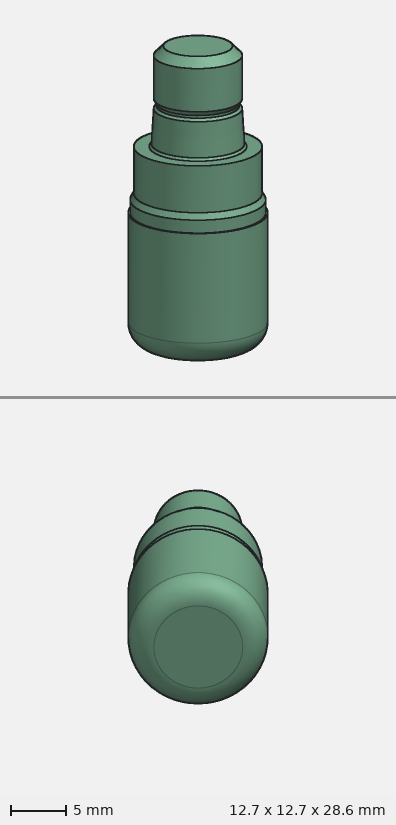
import cadquery as cq

TOTAL_HEIGHT = 28.6

KNOB_RADIUS = 6.35
KNOB_HEIGHT = 12.73
KNOB_ROUNDING = 2.32

LIP_RADIUS = 6.18
LIP_TOP = 13.95
COLLAR_RADIUS = 5.83
BEVEL_TOP = 14.55
COLLAR_TOP = 19.02

FLARE_RADIUS = 4.43
FLARE_HEIGHT = 0.25
NECK_FOOT_RADIUS = 4.23
NECK_TOP = 22.65

HEAD_RADIUS = 4.03
GROOVE_DEPTH = 0.25
GROOVE_LOWER_BEVEL = 0.25
GROOVE_FLOOR_HEIGHT = 0.25
GROOVE_UPPER_BEVEL = 0.43
HEAD_CHAMFER = 0.9


def make_knob():
    """Solid cylinder with its lower edge rounded over."""
    cylinder = cq.Workplane("XY").circle(KNOB_RADIUS).extrude(KNOB_HEIGHT)
    return cylinder.faces("<Z").edges().fillet(KNOB_ROUNDING)


def make_pin():
    """Turned pin with collar, tapered neck, groove and chamfered head."""
    groove_radius = HEAD_RADIUS - GROOVE_DEPTH
    groove_floor_bottom = NECK_TOP + GROOVE_LOWER_BEVEL
    groove_floor_top = groove_floor_bottom + GROOVE_FLOOR_HEIGHT
    head_bottom = groove_floor_top + GROOVE_UPPER_BEVEL

    profile = [
        (0, KNOB_HEIGHT),
        (LIP_RADIUS, KNOB_HEIGHT),
        (LIP_RADIUS, LIP_TOP),
        (COLLAR_RADIUS, BEVEL_TOP),
        (COLLAR_RADIUS, COLLAR_TOP),
        (FLARE_RADIUS, COLLAR_TOP),
        (NECK_FOOT_RADIUS, COLLAR_TOP + FLARE_HEIGHT),
        (HEAD_RADIUS, NECK_TOP),
        (groove_radius, groove_floor_bottom),
        (groove_radius, groove_floor_top),
        (HEAD_RADIUS, head_bottom),
        (HEAD_RADIUS, TOTAL_HEIGHT - HEAD_CHAMFER),
        (HEAD_RADIUS - HEAD_CHAMFER, TOTAL_HEIGHT),
        (0, TOTAL_HEIGHT),
    ]
    half_section = cq.Workplane("XZ").polyline(profile).close()
    return half_section.revolve(360, (0, 0, 0), (0, 1, 0))


knob = make_knob()
pin = make_pin()

result = cq.Compound.makeCompound([knob.val(), pin.val()])